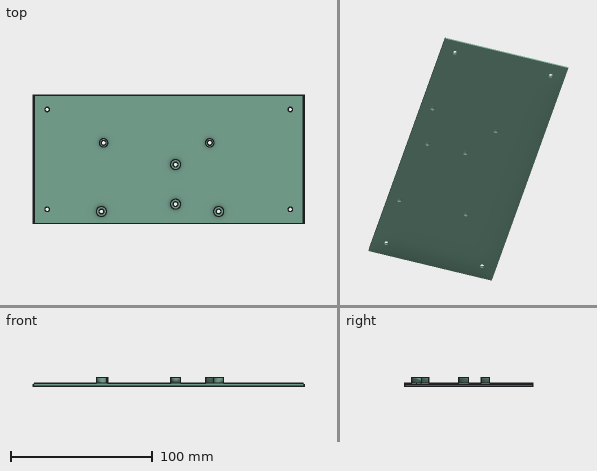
import cadquery as cq

length = 191.2
width = 90.5
total_height = 6.3
plate_thickness = 2.3
bevel_run = 1.1
bevel_drop = 1.1

corner_hole_diameter = 3.0
corner_hole_x = 85.6
corner_hole_y = 35.2

standoff_hole_diameter = 3.2
wide_standoff_diameter = 7.0
narrow_standoff_diameter = 6.0

front_row_y = -36.7
front_left_x = -47.5
front_right_x = 35.2
middle_x = 4.8
middle_front_y = -31.5
middle_back_y = -3.6
back_row_y = 11.7
back_left_x = -45.9
back_right_x = 28.9

wide_standoffs = [
    (front_left_x, front_row_y),
    (front_right_x, front_row_y),
    (middle_x, middle_front_y),
    (middle_x, middle_back_y),
]
narrow_standoffs = [(back_left_x, back_row_y), (back_right_x, back_row_y)]


def make_plate():
    """Flat plate with the top edges of its two short sides bevelled."""
    half_length = length / 2
    bevel_start = plate_thickness - bevel_drop
    return (
        cq.Workplane("XZ")
        .moveTo(-half_length, 0)
        .lineTo(half_length, 0)
        .lineTo(half_length, bevel_start)
        .lineTo(half_length - bevel_run, plate_thickness)
        .lineTo(bevel_run - half_length, plate_thickness)
        .lineTo(-half_length, bevel_start)
        .close()
        .extrude(width / 2, both=True)
    )


def cylinders(points, diameter, height):
    """Equal upright cylinders rising from Z = 0, centred on the given points."""
    return (
        cq.Workplane("XY")
        .pushPoints(points)
        .circle(diameter / 2)
        .extrude(height)
    )


corner_holes = [(sx * corner_hole_x, sy * corner_hole_y) for sx in (-1, 1) for sy in (-1, 1)]

result = make_plate()

result = result.union(cylinders(wide_standoffs, wide_standoff_diameter, total_height))
result = result.union(cylinders(narrow_standoffs, narrow_standoff_diameter, total_height))

result = result.cut(cylinders(corner_holes, corner_hole_diameter, plate_thickness))
result = result.cut(
    cylinders(wide_standoffs + narrow_standoffs, standoff_hole_diameter, total_height)
)